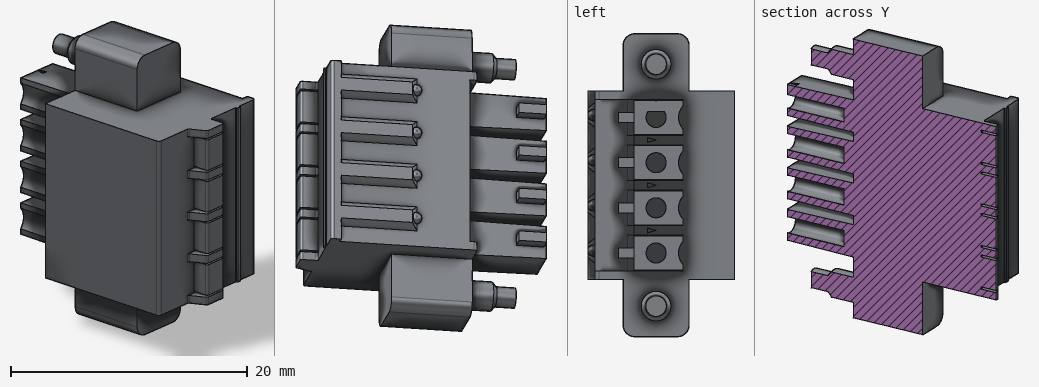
import cadquery as cq
import math

OVERLAP = 0.25

PITCH = 3.82
POLES = 4
POLE_Z = [PITCH * (i - (POLES - 1) / 2) for i in range(POLES)]
GAP_Z = [z + PITCH / 2 for z in POLE_Z[:-1]]

BODY_LENGTH = 12.75
BODY_DEPTH = 11.8
BODY_HEIGHT = 15.97
BACK_CORNER_RADIUS = 0.28
FRONT_CORNER_RADIUS = 0.3
CREST_HEIGHT = 0.62
CREST_LENGTH = 0.9

OVERALL_HEIGHT = 25.63
FLANGE_LENGTH = 6.95
FLANGE_WIDTH = 5.6
FLANGE_RADIUS = 1.0
AXIS_Y = 6.65
PIN_Z = 10.23
PIN_RADIUS = 1.25
PIN_TIP_RADIUS = 0.87
PIN_SHOULDER = 2.15
PIN_CONE_END = 2.5
PIN_LENGTH = 4.18

PRONG_LENGTH = 6.55
PRONG_Y_MIN = 4.38
PRONG_Y_MAX = 8.5
PRONG_TIP_HEIGHT = 2.87
PRONG_ROOT_HEIGHT = 3.02
GROOVE_HALF_HEIGHT = 0.95
GROOVE_DEPTH = 0.35
BORE_RADIUS = 0.85
BORE_DEPTH = 5.65
BORE_FLAT_OFFSET = 0.49
TAB_START = -6.33
TAB_LENGTH = 2.35
TAB_HEIGHT = 0.85
TAB_REACH = 1.3

RECESS_DEPTH = 0.67
RECESS_HEIGHT = (POLES - 1) * PITCH + PRONG_ROOT_HEIGHT
ROOT_FILLET = 0.55

RIB_OFFSET_Z = 0.2
RIB_BASE_WIDTH = 2.15
RIB_TOP_WIDTH = 1.13
RIB_START = 5.2
RIB_LEAN = 0.5
RIB_NOSE_START = 4.85
RIB_NOSE_RADIUS = 0.49
RIB_NOSE_ROUNDING = 0.44

CATCH_REACH = 1.5
CATCH_Y_TOP = 6.65
CATCH_Y_TIP = 4.49
CATCH_Y_FOOT = 3.75
CATCH_TIP_RADIUS = 0.2
CATCH_FOOT_RADIUS = 0.18
CATCH_STRIP = 0.5
SLIT_WIDTH = 0.15
CATCH_TAB_HEIGHT = 2.8
RIDGE_Y = 10.12
RIDGE_WIDTH = 0.49
RIDGE_REACH = 0.18
RIDGE_CHAMFER = 0.08

MARK_LENGTH = 0.75
MARK_WIDTH = 0.4
MARK_DEPTH = 0.08


def block(x_range, y_range, z_mid, height):
    """Rectangular block between two X and two Y limits, centred on z_mid."""
    (x0, x1), (y0, y1) = x_range, y_range
    shape = cq.Workplane("XY").box(x1 - x0, y1 - y0, height, centered=(False, False, True))
    return shape.translate((x0, y0, z_mid))


def make_housing():
    outline = [
        (0, 0),
        (BODY_LENGTH, 0),
        (BODY_LENGTH, BODY_DEPTH + CREST_HEIGHT),
        (BODY_LENGTH - CREST_LENGTH, BODY_DEPTH + CREST_HEIGHT),
        (BODY_LENGTH - CREST_LENGTH, BODY_DEPTH),
        (0, BODY_DEPTH),
    ]
    housing = cq.Workplane("XY").polyline(outline).close().extrude(BODY_HEIGHT / 2, both=True)
    housing = housing.edges("|Z and >X").fillet(BACK_CORNER_RADIUS)
    front_edge = cq.selectors.NearestToPointSelector((0, BODY_DEPTH, 0))
    return housing.edges(front_edge).fillet(FRONT_CORNER_RADIUS)


def make_recess():
    return block((-OVERLAP, RECESS_DEPTH), (PRONG_Y_MAX, BODY_DEPTH + OVERLAP), 0, RECESS_HEIGHT)


def make_flange():
    flange = cq.Workplane("XY").box(FLANGE_LENGTH, FLANGE_WIDTH, OVERALL_HEIGHT)
    flange = flange.edges("|X").fillet(FLANGE_RADIUS)
    return flange.translate((FLANGE_LENGTH / 2, AXIS_Y, 0))


def make_guide_pin(z):
    """Stepped pin turned about an axis along X, with a conical shoulder."""
    half_section = [
        (OVERLAP, 0),
        (OVERLAP, PIN_RADIUS),
        (-PIN_SHOULDER, PIN_RADIUS),
        (-PIN_CONE_END, PIN_TIP_RADIUS),
        (-PIN_LENGTH, PIN_TIP_RADIUS),
        (-PIN_LENGTH, 0),
    ]
    pin = cq.Workplane("XY").polyline(half_section).close().revolve(360, (0, 0), (1, 0))
    return pin.translate((0, AXIS_Y, z))


def make_prong(z):
    """Drafted prong with a grooved -Y face, a side tab and a fillet at its root in the recess."""
    prong_side = [
        (-PRONG_LENGTH, PRONG_TIP_HEIGHT / 2),
        (0, PRONG_ROOT_HEIGHT / 2),
        (RECESS_DEPTH, PRONG_ROOT_HEIGHT / 2),
        (RECESS_DEPTH, -PRONG_ROOT_HEIGHT / 2),
        (0, -PRONG_ROOT_HEIGHT / 2),
        (-PRONG_LENGTH, -PRONG_TIP_HEIGHT / 2),
    ]
    prong = cq.Workplane("XZ").polyline(prong_side).close().extrude(PRONG_Y_MIN - PRONG_Y_MAX)
    prong = prong.translate((0, PRONG_Y_MIN, 0))

    groove_radius = (GROOVE_HALF_HEIGHT**2 + GROOVE_DEPTH**2) / (2 * GROOVE_DEPTH)
    groove_y = PRONG_Y_MIN + GROOVE_DEPTH - groove_radius
    groove = cq.Workplane("YZ").center(groove_y, 0).circle(groove_radius).extrude(-PRONG_LENGTH)
    prong = prong.cut(groove)

    tab_end = TAB_START + TAB_LENGTH
    tab_y = (PRONG_Y_MAX - OVERLAP, PRONG_Y_MAX + TAB_REACH)
    tab = block((TAB_START, tab_end), tab_y, 0, TAB_HEIGHT)

    root_start = RECESS_DEPTH - ROOT_FILLET
    arc_inset = ROOT_FILLET * math.sqrt(0.5)
    root = (
        cq.Workplane("XY")
        .moveTo(root_start, PRONG_Y_MAX)
        .threePointArc(
            (root_start + arc_inset, PRONG_Y_MAX + ROOT_FILLET - arc_inset),
            (RECESS_DEPTH, PRONG_Y_MAX + ROOT_FILLET),
        )
        .lineTo(RECESS_DEPTH + OVERLAP, PRONG_Y_MAX + ROOT_FILLET)
        .lineTo(RECESS_DEPTH + OVERLAP, PRONG_Y_MAX - OVERLAP)
        .lineTo(root_start, PRONG_Y_MAX - OVERLAP)
        .close()
        .extrude(PRONG_ROOT_HEIGHT / 2, both=True)
    )
    return prong.union(tab).union(root).translate((0, 0, z))


def make_bore(z):
    bore = cq.Workplane("YZ").circle(BORE_RADIUS).extrude(BORE_DEPTH)
    return bore.translate((-PRONG_LENGTH, AXIS_Y, z))


def make_flat_bore(z):
    """Bore whose +Z side is cut off by a flat."""
    flat_block = block(
        (-PRONG_LENGTH, BORE_DEPTH - PRONG_LENGTH),
        (AXIS_Y - BORE_RADIUS, AXIS_Y + BORE_RADIUS),
        z + BORE_FLAT_OFFSET - BORE_RADIUS,
        2 * BORE_RADIUS,
    )
    return make_bore(z).intersect(flat_block)


def make_release_rib(z):
    """Rib with sloping flanks and a leaning front, led by a domed upright nose."""
    rib_end = BODY_LENGTH - CREST_LENGTH + OVERLAP
    rib_section = [
        (BODY_DEPTH, -RIB_BASE_WIDTH / 2),
        (BODY_DEPTH, RIB_BASE_WIDTH / 2),
        (BODY_DEPTH + CREST_HEIGHT, RIB_TOP_WIDTH / 2),
        (BODY_DEPTH + CREST_HEIGHT, -RIB_TOP_WIDTH / 2),
    ]
    rib = cq.Workplane("YZ").polyline(rib_section).close().extrude(rib_end - RIB_START)
    rib = rib.translate((RIB_START, 0, 0))
    front_wedge = (
        cq.Workplane("XY")
        .polyline([
            (RIB_START, BODY_DEPTH),
            (RIB_START, BODY_DEPTH + CREST_HEIGHT),
            (RIB_START + RIB_LEAN, BODY_DEPTH + CREST_HEIGHT),
        ])
        .close()
        .extrude(RIB_BASE_WIDTH, both=True)
    )
    nose = cq.Workplane("XZ").circle(RIB_NOSE_RADIUS).extrude(-CREST_HEIGHT)
    nose = nose.faces(">Y").edges().fillet(RIB_NOSE_ROUNDING)
    nose = nose.translate((RIB_NOSE_START + RIB_NOSE_RADIUS, BODY_DEPTH, 0))
    return rib.cut(front_wedge).union(nose).translate((0, 0, z + RIB_OFFSET_Z))


def make_catch_spacers():
    """Full-height bar with a sloping -Y side and filleted feet, standing on a strip inside the housing wall."""
    tip_x = BODY_LENGTH + CATCH_REACH
    strip_x = BODY_LENGTH - CATCH_STRIP
    outline = [
        (strip_x, CATCH_Y_FOOT - CATCH_STRIP),
        (BODY_LENGTH, CATCH_Y_FOOT - CATCH_STRIP),
        (BODY_LENGTH, CATCH_Y_FOOT),
        (tip_x, CATCH_Y_TIP),
        (tip_x, CATCH_Y_TOP),
        (BODY_LENGTH, CATCH_Y_TOP),
        (BODY_LENGTH, CATCH_Y_TOP + CATCH_STRIP),
        (strip_x, CATCH_Y_TOP + CATCH_STRIP),
    ]
    bar = cq.Workplane("XY").polyline(outline).close().extrude(BODY_HEIGHT / 2, both=True)
    bar = bar.edges("|Z and >X").fillet(CATCH_TIP_RADIUS)
    for foot_y in (CATCH_Y_FOOT, CATCH_Y_TOP):
        foot_edge = cq.selectors.NearestToPointSelector((BODY_LENGTH, foot_y, 0))
        bar = bar.edges(foot_edge).fillet(CATCH_FOOT_RADIUS)
    return bar


def make_catch():
    """Square-sided tabs in line with the poles, separated from the spacers between them by slits."""
    tip_x = BODY_LENGTH + CATCH_REACH
    opening_x = (BODY_LENGTH - CATCH_STRIP, tip_x)
    opening_y = (CATCH_Y_FOOT - CATCH_STRIP, CATCH_Y_TOP + CATCH_STRIP)
    catch = make_catch_spacers()
    for z in POLE_Z:
        catch = catch.cut(block(opening_x, opening_y, z, CATCH_TAB_HEIGHT + 2 * SLIT_WIDTH))
        tab = block(opening_x, (CATCH_Y_TIP, CATCH_Y_TOP), z, CATCH_TAB_HEIGHT)
        catch = catch.union(tab.edges("|Z and >X").fillet(CATCH_TIP_RADIUS))
    return catch


def make_back_ridge():
    ridge = block(
        (BODY_LENGTH - OVERLAP, BODY_LENGTH + RIDGE_REACH),
        (RIDGE_Y - RIDGE_WIDTH / 2, RIDGE_Y + RIDGE_WIDTH / 2),
        0, BODY_HEIGHT,
    )
    return ridge.edges("|Z and >X").chamfer(RIDGE_CHAMFER)


def make_face_mark(z):
    """Triangle sunk into the mating face, pointing to -Y at the pole axis."""
    points = [(AXIS_Y, 0), (AXIS_Y + MARK_LENGTH, MARK_WIDTH / 2), (AXIS_Y + MARK_LENGTH, -MARK_WIDTH / 2)]
    return cq.Workplane("YZ").polyline(points).close().extrude(MARK_DEPTH).translate((0, 0, z))


def make_top_mark():
    """Triangle sunk into the +Z side of the top prong, pointing to its tip."""
    base_x = MARK_LENGTH - PRONG_LENGTH
    points = [(-PRONG_LENGTH, AXIS_Y), (base_x, AXIS_Y + MARK_WIDTH / 2), (base_x, AXIS_Y - MARK_WIDTH / 2)]
    floor_z = POLE_Z[-1] + PRONG_TIP_HEIGHT / 2 - MARK_DEPTH
    return cq.Workplane("XY").workplane(offset=floor_z).polyline(points).close().extrude(OVERLAP + MARK_DEPTH)


result = make_housing().union(make_flange()).cut(make_recess())
result = result.union(make_catch()).union(make_back_ridge())
for pin_z in (-PIN_Z, PIN_Z):
    result = result.union(make_guide_pin(pin_z))
for pole_z in POLE_Z:
    result = result.union(make_prong(pole_z)).union(make_release_rib(pole_z))
for pole_z in POLE_Z[:-1]:
    result = result.cut(make_bore(pole_z))
result = result.cut(make_flat_bore(POLE_Z[-1]))
for gap_z in GAP_Z:
    result = result.cut(make_face_mark(gap_z))
result = result.cut(make_top_mark())